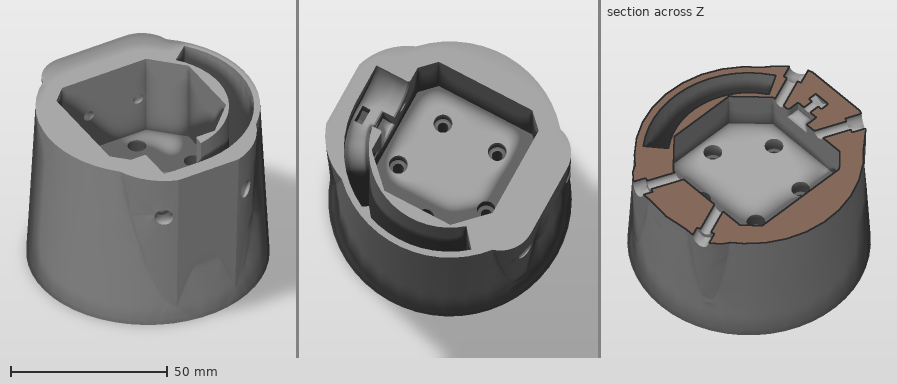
import cadquery as cq
import math

height = 58.4
base_radius = 39.0
top_radius = 36.0

left_reach = top_radius
left_half_width = 23.2
left_corner_radius = 11.0
left_draft = 0.6

right_reach = base_radius
right_flat_half = 11.1
right_flank_mid = (35.1, 18.3)
right_flank_end = (25.8, 25.1)
right_draft = 2.0

pocket_half_width = 22.0
pocket_back = 22.0
pocket_front = -24.0
pocket_floor = 30.0
back_chamfer = 10.0
front_chamfer = 5.0

screw_diameter = 3.5
head_diameter = 6.0
floor_screw_count = 5
floor_screw_circle = 16.8
floor_head_depth = 5.0
side_screw_angle = 22.5
side_screw_drop = 15.0
side_screw_z = height - side_screw_drop
side_head_seat_radius = 34.3

slot_inner = 26.0
slot_outer = 34.0
slot_end_angle = 130.0
shelf_depth = 10.0
shelf_z = height - shelf_depth
shelf_end = -13.5
shelf_bend_start = shelf_end + shelf_depth
ramp_angle = 30.5
ramp_foot = 1.3
ramp_radius = 7.6

notch_back = 4.9
notch_depth_x = 4.3
notch_floor = 40.0
notch_edge_break = 0.5

nut_width = 5.7
nut_thickness = 2.9
nut_x = 31.45
nut_y = 0.75
nut_z = 44.5


def box(x_range, y_range, z_range):
    """Axis-aligned box between pairs of limits."""
    (x0, x1), (y0, y1), (z0, z1) = x_range, y_range, z_range
    return cq.Workplane("XY").box(x1 - x0, y1 - y0, z1 - z0, centered=False).translate((x0, y0, z0))


def make_cone():
    """Solid body, narrowing from the base to the top face."""
    return (
        cq.Workplane("XZ")
        .polyline([(0, 0), (-base_radius, 0), (-top_radius, height), (0, height)])
        .close()
        .revolve(360, (0, 0, 0), (0, 1, 0))
    )


def make_left_bulge():
    """Rounded block that shrinks from the top face downwards."""
    corner_x = left_corner_radius - left_reach
    corner_y = left_half_width - left_corner_radius
    diagonal = left_corner_radius * math.sqrt(0.5)
    arc_mid = (corner_x - diagonal, corner_y + diagonal)
    return (
        cq.Workplane("XY", origin=(0, 0, height))
        .moveTo(0, left_half_width)
        .lineTo(corner_x, left_half_width)
        .threePointArc(arc_mid, (-left_reach, corner_y))
        .lineTo(-left_reach, -corner_y)
        .threePointArc((arc_mid[0], -arc_mid[1]), (corner_x, -left_half_width))
        .lineTo(0, -left_half_width)
        .close()
        .extrude(-height, taper=left_draft)
    )


def make_right_bulge():
    """Flat-fronted block that shrinks from the top face downwards."""
    mid_x, mid_y = right_flank_mid
    end_x, end_y = right_flank_end
    return (
        cq.Workplane("XY", origin=(0, 0, height))
        .moveTo(0, end_y)
        .lineTo(end_x, end_y)
        .threePointArc((mid_x, mid_y), (right_reach, right_flat_half))
        .lineTo(right_reach, -right_flat_half)
        .threePointArc((mid_x, -mid_y), (end_x, -end_y))
        .lineTo(0, -end_y)
        .close()
        .extrude(-height, taper=right_draft)
    )


def make_pocket():
    """Eight-sided pocket with larger corner cuts at the +Y end."""
    w = pocket_half_width
    outline = [
        (-w, pocket_front + front_chamfer),
        (-w + front_chamfer, pocket_front),
        (w - front_chamfer, pocket_front),
        (w, pocket_front + front_chamfer),
        (w, pocket_back - back_chamfer),
        (w - back_chamfer, pocket_back),
        (-w + back_chamfer, pocket_back),
        (-w, pocket_back - back_chamfer),
    ]
    floor_plane = cq.Workplane("XY", origin=(0, 0, pocket_floor))
    return floor_plane.polyline(outline).close().extrude(height - pocket_floor)


def make_floor_screws():
    """Counterbored holes on a circle, the first one towards +Y."""
    first_angle = 90

    def ring_of_holes(diameter, bottom, top):
        return (
            cq.Workplane("XY", origin=(0, 0, bottom))
            .polarArray(floor_screw_circle, first_angle, 360, floor_screw_count)
            .circle(diameter / 2)
            .extrude(top - bottom)
        )

    shafts = ring_of_holes(screw_diameter, 0, pocket_floor)
    heads = ring_of_holes(head_diameter, pocket_floor - floor_head_depth, pocket_floor)
    return shafts.union(heads)


def make_side_screw(angle):
    """Radial counterbored hole from the outside into the pocket."""
    direction = cq.Vector(math.cos(math.radians(angle)), math.sin(math.radians(angle)), 0)
    level = cq.Vector(0, 0, side_screw_z)
    start = pocket_half_width - screw_diameter
    outside = base_radius + head_diameter

    def cylinder(diameter, inner):
        return cq.Solid.makeCylinder(diameter / 2, outside - inner, level + direction * inner, direction)

    shaft = cylinder(screw_diameter, start)
    head = cylinder(head_diameter, side_head_seat_radius)
    return cq.Workplane(shaft.fuse(head))


def make_ramp():
    """Material left under the slot: flat top with one rounded end."""
    length = 2 * base_radius
    arc_centre = (ramp_foot - ramp_radius, shelf_z - ramp_radius)
    diagonal = ramp_radius * math.sqrt(0.5)
    return (
        cq.Workplane("YZ")
        .moveTo(-base_radius, 0)
        .lineTo(ramp_foot, 0)
        .lineTo(ramp_foot, arc_centre[1])
        .threePointArc((arc_centre[0] + diagonal, arc_centre[1] + diagonal), (arc_centre[0], shelf_z))
        .lineTo(-base_radius, shelf_z)
        .close()
        .extrude(length)
        .rotate((0, 0, 0), (0, 0, 1), ramp_angle)
    )


def make_slot():
    """Ring sector open through the body, closed below by the ramp at its +X end."""

    def polar(radius, angle):
        return (radius * math.cos(math.radians(angle)), radius * math.sin(math.radians(angle)))

    middle_angle = slot_end_angle / 2
    sector = (
        cq.Workplane("XY")
        .moveTo(slot_inner, 0)
        .lineTo(slot_outer, 0)
        .threePointArc(polar(slot_outer, middle_angle), polar(slot_outer, slot_end_angle))
        .lineTo(*polar(slot_inner, slot_end_angle))
        .threePointArc(polar(slot_inner, middle_angle), (slot_inner, 0))
        .close()
        .extrude(height)
    )
    return sector.cut(make_ramp())


def make_shelf():
    """Straight end of the slot, whose floor bends up to the top face."""
    inner_x = pocket_half_width
    diagonal = shelf_depth * math.sqrt(0.5)
    return (
        cq.Workplane("YZ", origin=(inner_x, 0, 0))
        .moveTo(0, height)
        .lineTo(0, shelf_z)
        .lineTo(shelf_bend_start, shelf_z)
        .threePointArc((shelf_bend_start - diagonal, height - diagonal), (shelf_end, height))
        .close()
        .extrude(slot_outer - inner_x)
    )


def make_notch():
    """Gap through the pocket wall beside the shelf."""
    wall = pocket_half_width
    return box((wall, wall + notch_depth_x), (shelf_bend_start, notch_back), (notch_floor, height))


def break_notch_edges(body):
    """Chamfer the edges of the notch and shelf where they meet the pocket wall."""
    margin = 0.1
    wall = pocket_half_width
    notch_wall = wall + notch_depth_x
    wall_edges = cq.selectors.BoxSelector(
        (wall - margin, shelf_end - margin, notch_floor - margin),
        (wall + margin, notch_back + margin, height + margin),
    )
    step_edge = cq.selectors.BoxSelector(
        (notch_wall - margin, shelf_bend_start - margin, shelf_z - margin),
        (notch_wall + margin, notch_back + margin, shelf_z + margin),
    )
    below_shelf = cq.selectors.BoxSelector(
        (wall - margin, shelf_bend_start - margin, notch_floor - margin),
        (wall + margin, shelf_bend_start + margin, shelf_z + margin),
    )
    return body.edges((wall_edges - below_shelf) + step_edge).chamfer(notch_edge_break)


def make_nut_trap():
    """Hexagonal nut seat with a point down, its drop-in slot and its screw hole."""
    nut_left = nut_x - nut_thickness / 2
    nut_right = nut_x + nut_thickness / 2
    corner_diameter = nut_width / math.cos(math.radians(30))
    seat = (
        cq.Workplane("YZ", origin=(nut_left, nut_y, nut_z))
        .transformed(rotate=(0, 0, 90))
        .polygon(6, corner_diameter)
        .extrude(nut_thickness)
    )
    half = nut_width / 2
    drop_in = box((nut_left, nut_right), (nut_y - half, nut_y + half), (nut_z, shelf_z))
    screw = (
        cq.Workplane("YZ", origin=(pocket_half_width, nut_y, nut_z))
        .circle(screw_diameter / 2)
        .extrude(nut_right - pocket_half_width)
    )
    return seat.union(drop_in).union(screw)


result = make_cone().union(make_left_bulge()).union(make_right_bulge())
result = result.cut(make_pocket()).cut(make_floor_screws())
result = result.cut(make_slot()).cut(make_shelf()).cut(make_notch())
result = break_notch_edges(result)
result = result.cut(make_nut_trap())
for base_angle in (0, 180):
    for side in (-1, 1):
        result = result.cut(make_side_screw(base_angle + side * side_screw_angle))